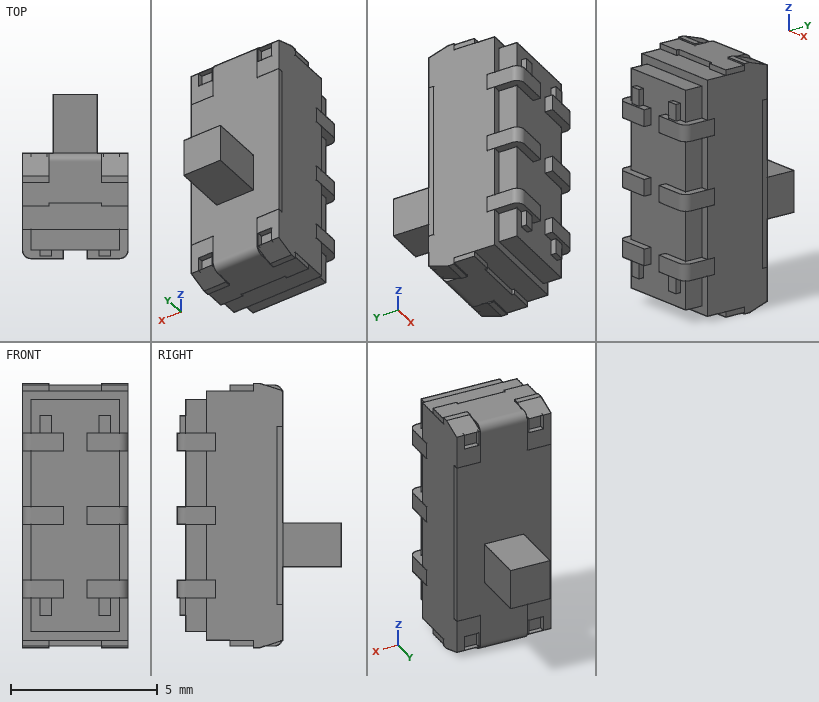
import cadquery as cq


width = 3.6
length = 9.0
core_length = 8.5
core_depth = 2.6
base_width = 3.0
base_length = 7.9
base_front = 3.3

block_depth = 1.0
block_flat_start = 0.77

pocket_inner_x = 0.95
pocket_outer_x = base_width / 2
pocket_depth = 0.2

peg_width = 0.4
peg_height = 0.2
peg_spacing = 2.02
peg_outer_z = 3.4

sheet = 0.2
bend_radius = 0.3
plate_length = 6.05
strap_width = 1.8
hook_front = 1.8
strap_front = 1.7

knob_width = 1.5
knob_height = 2.0
knob_z = -1.0

terminal_width = 0.6
terminal_back = 2.295
terminal_front = 3.6
terminal_pitch = 2.5
foot_gap = 0.81
terminal_thickness = (width - base_width) / 2

core_end = core_length / 2
cover_end = core_end + sheet


def block(size_x, y_from, y_to, z_from, z_to, x_mid=0.0):
    """Box centred on x_mid in X and spanning the given Y and Z ranges."""
    return cq.Workplane("XY").box(size_x, y_to - y_from, z_to - z_from).translate(
        (x_mid, (y_from + y_to) / 2, (z_from + z_to) / 2)
    )


def both_ends(upper):
    """Join a feature at the +Z end with its mirror image at the -Z end."""
    return upper.union(upper.mirror("XY"))


def make_cover():
    """Plate over the housing, with a strap folded round each end into a wide hook."""
    plate = block(width, -sheet, 0, -plate_length / 2, plate_length / 2)

    strap = block(strap_width, -strap_front, 0, -cover_end, cover_end)
    strap = strap.edges("|X and >Y").fillet(bend_radius)
    strap_inside = block(strap_width, -strap_front, -sheet, -core_end, core_end)
    strap_inside = strap_inside.edges("|X and >Y").fillet(bend_radius - sheet)
    strap = strap.cut(strap_inside)

    hook = block(width, -hook_front, -block_depth, core_end, cover_end)
    hook = hook.cut(block(strap_width, -hook_front, -strap_front, core_end, cover_end))
    return plate.union(strap).union(both_ends(hook))


def make_terminal(side, z_mid):
    """L-shaped strip: a leg along the housing side and a foot across the base front."""
    outer = block(
        (width - foot_gap) / 2,
        -terminal_front,
        -terminal_back,
        z_mid - terminal_width / 2,
        z_mid + terminal_width / 2,
        side * (width + foot_gap) / 4,
    )
    outer_corner = "|Z and <Y and >X" if side > 0 else "|Z and <Y and <X"
    outer = outer.edges(outer_corner).fillet(terminal_thickness)
    inside = block(base_width, -base_front, 0, -length / 2, length / 2)
    return outer.cut(inside)


def make_corner_block(side):
    """Block beside the strap at the +Z end, sloping down to the housing's back face."""
    block_width = (width - strap_width) / 2
    profile = [
        (0, core_end),
        (-block_flat_start, length / 2),
        (-block_depth, length / 2),
        (-block_depth, core_end),
    ]
    x_mid = side * (strap_width + block_width) / 2
    prism = cq.Workplane("YZ").polyline(profile).close().extrude(block_width / 2, both=True)
    return prism.translate((x_mid, 0, 0))


def make_pocket(side):
    """Void of the back-face pocket at the +Z end, reaching up to the start of the slope."""
    size = pocket_outer_x - pocket_inner_x
    x_mid = side * (pocket_inner_x + pocket_outer_x) / 2
    return block(size, -pocket_depth, 0, core_end - size, core_end, x_mid)


def make_housing(cover, terminals):
    """Housing with base, pegs, corner blocks and pockets, relieved for the cover and terminals."""
    body = block(width, -core_depth, 0, -core_end, core_end)
    body = body.cut(block(width, -sheet, 0, -plate_length / 2, plate_length / 2))
    body = body.cut(block(strap_width, -sheet, 0, -core_end, core_end))
    body = body.union(block(base_width, -base_front, -core_depth, -base_length / 2, base_length / 2))
    for side in (-1, 1):
        body = body.union(both_ends(make_corner_block(side)))
        body = body.cut(both_ends(make_pocket(side)))
        peg = block(
            peg_width,
            -base_front - peg_height,
            -base_front,
            terminal_pitch + terminal_width / 2,
            peg_outer_z,
            side * peg_spacing / 2,
        )
        body = body.union(both_ends(peg))
    for neighbour in (cover, *terminals):
        body = body.cut(neighbour)
    return body


def make_knob():
    """Square actuator standing on the cover plate."""
    return block(knob_width, 0, knob_height, knob_z - knob_width / 2, knob_z + knob_width / 2)


cover = make_cover()
terminals = [
    make_terminal(side, row * terminal_pitch)
    for side in (-1, 1)
    for row in (-1, 0, 1)
]
housing = make_housing(cover, terminals)
knob = make_knob()

result = cq.Compound.makeCompound(
    [housing.val(), cover.val(), knob.val(), *[terminal.val() for terminal in terminals]]
)